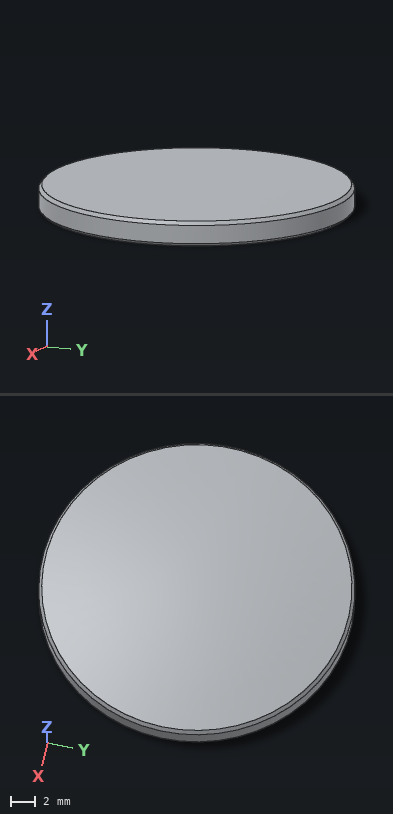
import cadquery as cq
import math

diameter = 25.4
center_thickness = 3.41
edge_thickness = 2.0
bevel = 0.25

radius = diameter / 2
bevelled_radius = radius - bevel
dome_sag = center_thickness - edge_thickness
dome_radius = (radius**2 + dome_sag**2) / (2 * dome_sag)


def dome_height(distance_from_axis):
    """Height of the spherical face at a given distance from the optical axis."""
    sphere_center_z = center_thickness - dome_radius
    return sphere_center_z + math.sqrt(dome_radius**2 - distance_from_axis**2)


def make_lens():
    """Revolve the half section about the optical axis."""
    mid_radius = bevelled_radius / 2
    half_section = (
        cq.Workplane("XZ")
        .moveTo(0, 0)
        .lineTo(bevelled_radius, 0)
        .lineTo(radius, bevel)
        .lineTo(radius, edge_thickness - bevel)
        .lineTo(bevelled_radius, dome_height(bevelled_radius))
        .threePointArc((mid_radius, dome_height(mid_radius)), (0, center_thickness))
        .close()
    )
    return half_section.revolve(360, (0, 0, 0), (0, 1, 0))


result = make_lens()